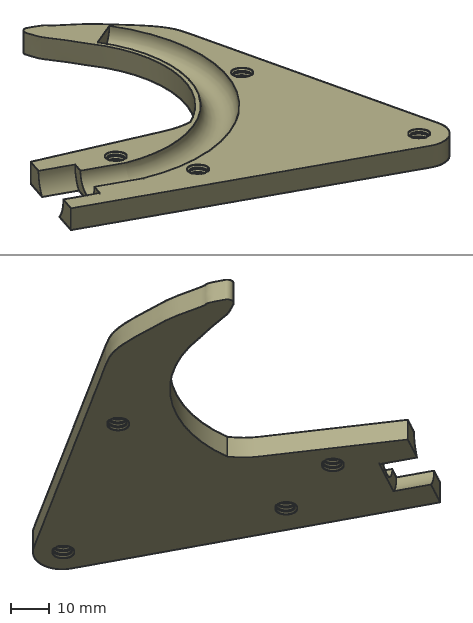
import cadquery as cq
import math

thickness = 6.35
overall_length = 101.42
overall_height = 107.63
slant_angle = math.radians(30)
top_corner_radius = 7.62

channel_diameter = 10.0
lead_in_x = -14.4
bend_center = (-57.2, 17.3)
bend_radius = 43.2
bend_start_angle = math.acos((lead_in_x - bend_center[0]) / bend_radius)
bend_end_angle = math.radians(141.2)

socket_diameter = 17.7
socket_depth = 10.16

throat_radius = 36.8
throat_left_x = -87.1
throat_right_x = -35.35
foot_left_x = -28.9
flank_top = (-32.9, 38.6)
flank_mid = (-33.9, 43.45)

tip_radius = 1.7
tip_center = (-overall_length + tip_radius, 27.35)
tip_exit_angle = math.radians(-50)
shoulder_x = -83.0
hook_back = [(-86.9, 62.6), (-90.1, 58.7), (-94.3, 50.8), (-98.4, 41.0), (-100.75, 32.9)]
hook_inner = [(-96.4, 27.6), (-91.7, 33.2)]

thread_minor_diameter = 5.12
thread_major_diameter = 6.35
thread_pitch = 1.27
thread_root_width = thread_pitch / 8
thread_half_angle = math.radians(30)
thread_overlap = 0.1

top_corner_center = (-top_corner_radius, overall_height - top_corner_radius)
hole_centers = [top_corner_center, (-57.2, 70.1), (-9.2, 39.2), (-23.9, 22.1)]


def polar(center, radius, angle):
    return (center[0] + radius * math.cos(angle), center[1] + radius * math.sin(angle))


def slant_y(x):
    """Height of the slanted upper edge, tangent to the top corner round."""
    touch_x, touch_y = polar(top_corner_center, top_corner_radius, slant_angle + math.pi / 2)
    return touch_y + (x - touch_x) * math.tan(slant_angle)


def throat_point(x):
    """Point of the throat circle, above its centre, at the given x."""
    offset = x - bend_center[0]
    return (x, bend_center[1] + math.sqrt(throat_radius**2 - offset**2))


def make_plate():
    slant_down = (-math.cos(slant_angle), -math.sin(slant_angle))
    top_corner = (0, slant_y(0))
    tip_left = polar(tip_center, tip_radius, math.pi)
    tip_bottom = polar(tip_center, tip_radius, -math.pi / 2)
    tip_exit = polar(tip_center, tip_radius, tip_exit_angle)
    throat_left = throat_point(throat_left_x)
    inner_start = polar((0, 0), 1, tip_exit_angle + math.pi / 2)
    inner_end = (throat_left[0] - hook_inner[-1][0], throat_left[1] - hook_inner[-1][1])
    plate = (
        cq.Workplane("XY")
        .moveTo(0, 0)
        .lineTo(*top_corner)
        .lineTo(shoulder_x, slant_y(shoulder_x))
        .spline([*hook_back, tip_left], tangents=[slant_down, (0, -1)], includeCurrent=True)
        .threePointArc(tip_bottom, tip_exit)
        .spline([*hook_inner, throat_left], tangents=[inner_start, inner_end], includeCurrent=True)
        .threePointArc(throat_point(bend_center[0]), throat_point(throat_right_x))
        .threePointArc(flank_mid, flank_top)
        .lineTo(foot_left_x, 0)
        .close()
        .extrude(thickness)
    )
    nearest = cq.selectors.NearestToPointSelector((*top_corner, thickness / 2))
    return plate.edges("|Z").edges(nearest).fillet(top_corner_radius)


def make_lead_in(diameter, length):
    """Round bar from the lower edge along +Y, its axis in the top face."""
    return (
        cq.Workplane("XZ", origin=(lead_in_x, 0, thickness))
        .circle(diameter / 2)
        .extrude(-length)
    )


def make_bend():
    """Curved part of the channel, starting where its centreline leaves the lead-in."""
    sweep_angle = math.degrees(bend_end_angle - bend_start_angle)
    return (
        cq.Workplane("XZ")
        .center(bend_radius, 0)
        .circle(channel_diameter / 2)
        .revolve(sweep_angle, (-bend_radius, 0), (-bend_radius, 1))
        .rotate((0, 0, 0), (0, 0, 1), math.degrees(bend_start_angle))
        .translate((*bend_center, thickness))
    )


def make_tap():
    """Bore plus a right-hand V thread whose root faces -Y on both plate faces."""
    minor_radius = thread_minor_diameter / 2
    major_radius = thread_major_diameter / 2
    inner_radius = minor_radius - thread_overlap
    root_half = thread_root_width / 2
    mouth_half = root_half + (major_radius - inner_radius) * math.tan(thread_half_angle)
    helix_length = thickness + 2 * thread_pitch
    helix = cq.Wire.makeHelix(thread_pitch, helix_length, minor_radius)
    thread = (
        cq.Workplane("XZ")
        .polyline(
            [
                (inner_radius, -mouth_half),
                (major_radius, -root_half),
                (major_radius, root_half),
                (inner_radius, mouth_half),
            ]
        )
        .close()
        .sweep(cq.Workplane(obj=helix), isFrenet=True)
        .rotate((0, 0, 0), (0, 0, 1), -90)
        .translate((0, 0, -thread_pitch))
    )
    bore = cq.Workplane("XY").circle(minor_radius).extrude(thickness)
    return thread, bore


bend_start_outer = polar(bend_center, bend_radius + channel_diameter / 2, bend_start_angle)

result = make_plate()
result = result.cut(make_bend())
result = result.cut(make_lead_in(channel_diameter, bend_start_outer[1]))
result = result.cut(make_lead_in(socket_diameter, socket_depth))
for x, y in hole_centers:
    for cutter in make_tap():
        result = result.cut(cutter.translate((x, y, 0)))